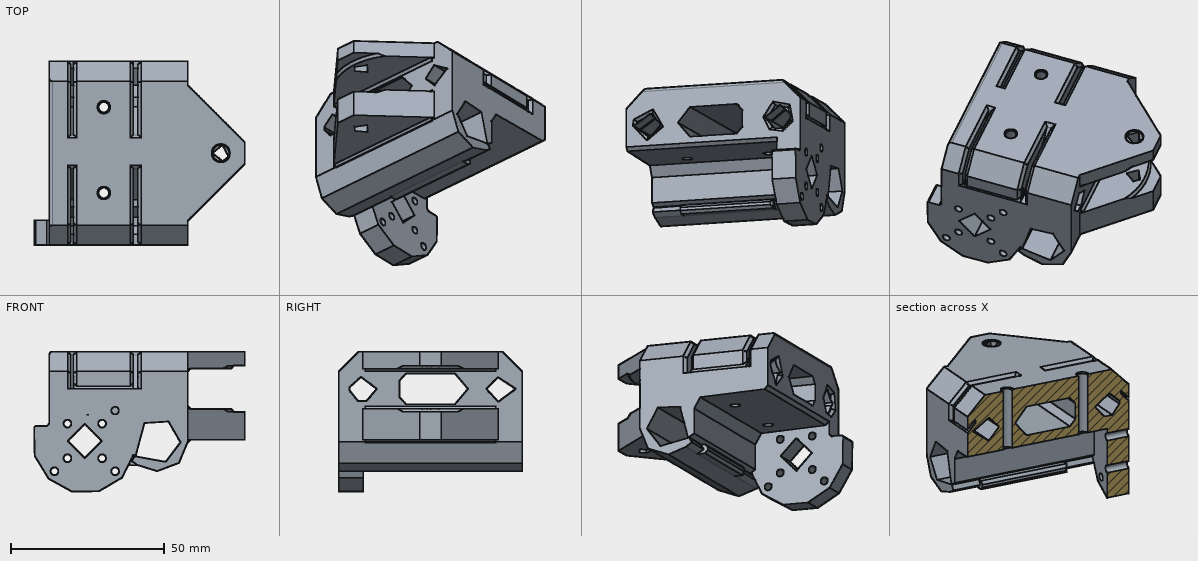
import cadquery as cq
import math


body_length = 60.0
body_half = body_length / 2
total_height = 45.77
plate_radius = 17.1
plate_first_angle = 196.5
plate_angle_step = 29.7
plate_corner_count = 5
plate_angles = [plate_first_angle + i * plate_angle_step for i in range(plate_corner_count)]
plate_bottom = min(plate_radius * math.sin(math.radians(a)) for a in plate_angles)
top_z = plate_bottom + total_height
left_x = -11.6
right_x = 33.65
underside_z = 10.0
shoulder_chamfer = 6.5
top_edge_radius = 1.0
underside_chamfer = 1.2

plate_thickness = 8.1
plate_left_x = -16.57
plate_top_z = 4.9
plate_corner = 0.5
plate_inner_corner = 0.8
plate_tube_corner = (16.6, -3.1)
plate_bore_corner = (20.0, 8.0)
shaft_hole_radius = 5.5
motor_screw_diameter = 2.46
inner_screw_offset = 5.65
outer_screw_offset = 9.9

tube_wall_x = 14.5
tube_wall_top_z = 4.7
tube_root_x = 12.3
tube_root_z = 8.3
tube_side_z = -0.3
tube_rim = [(30.75, -7.2), (23.6, -9.9), (17.4, -7.95), (15.3, -6.6)]
slit_outer_z = -3.7
lip_x = 16.3
lip_z = -5.0
lip_gap = 0.2
lip_overlap_x = 20.0
bore_corners = [(19.5, 5.8), (27.3, 6.3), (31.2, -0.45), (26.4, -6.8), (16.6, lip_z)]
tab_y = (-11.8, 20.0)
tab_x = 13.8
tab_root_x = 17.6
tab_bottom_z = -8.0
tab_chamfer = 1.0
tab_taper = 0.8

axis_z = 17.0
rod_offset_y = 22.5
rod_hole_radius = 5.3
rod_mouth_depth = 1.0
near_mouth_angles = (0, 69, 137, 202, 255, 306)
far_mouth_angles = (1, 22, 109, 191, 274)
near_core = [(4.95, 0), (-0.2, 3.85), (-3.9, 0.5), (-3.9, -0.5), (-1.2, -3.9), (1.6, -3.9)]
far_core = [(5.25, 0), (-0.5, 3.75), (-4.2, 0), (-0.4, -4.2)]
belt_half_height = 4.95
belt_straight_half = 8.0
belt_tip_y = 12.2
belt_blunt_y = -10.05
belt_blunt_half_height = 2.75

slit_flare = 1.05
near_slit_length = 26.0
far_slit_length = 25.0
slit_floor_length = 14.8
left_slit = (-4.55, -3.7)
right_slit = (15.85, 17.35)
clamp_gap = 0.9
clamp_gap_depth = 3.0

clamp_screw_x = 6.2
clamp_screw_ys = (15.0, -13.0)
clamp_screw_diameter = 3.4
clamp_screw_mouth = 4.2

total_length_x = 68.86
fork_tip_x = plate_left_x + total_length_x
fork_tip_half = 3.5
fork_root_half = fork_tip_half + fork_tip_x - right_x
upper_arm_z = 23.6
lower_arm_z = 10.5
lower_arm_bottom_z = 0.35
arm_step = 1.0
step_slope = 38.0
step_side_x = 45.0
step_mid_x = 47.9
fork_overlap = 1.0
fork_root_chamfer = 0.9
idler_x = 44.4
idler_diameter = 5.4
idler_mouth = 6.0
idler_corner_angles = (79, 180, 283, 336)

margin = 5.0


def prism_y(points, y_start, y_end):
    """Extrude an XZ outline between two Y positions."""
    plane = cq.Workplane("XZ", origin=(0, y_start, 0))
    return plane.polyline(points).close().extrude(y_start - y_end)


def prism_x(points, x_start, x_end):
    """Extrude a YZ outline between two X positions."""
    plane = cq.Workplane("YZ", origin=(x_start, 0, 0))
    return plane.polyline(points).close().extrude(x_end - x_start)


def polar_points(radius, angles, center=(0, 0)):
    """Corners on a circle at the given angles in degrees."""
    return [
        (
            center[0] + radius * math.cos(math.radians(a)),
            center[1] + radius * math.sin(math.radians(a)),
        )
        for a in angles
    ]


def make_body():
    """Block and split tube as one XZ outline, with sloped shoulders."""
    body = (
        cq.Workplane("XZ", origin=(0, -body_half, 0))
        .moveTo(left_x, underside_z)
        .lineTo(left_x, top_z)
        .lineTo(right_x, top_z)
        .lineTo(right_x, tube_side_z)
        .lineTo(*tube_rim[0])
        .lineTo(*tube_rim[1])
        .lineTo(*tube_rim[2])
        .lineTo(*tube_rim[3])
        .lineTo(lip_x, lip_z)
        .lineTo(lip_overlap_x, lip_z)
        .lineTo(lip_overlap_x, lip_z + lip_gap)
        .lineTo(lip_x, lip_z + lip_gap)
        .lineTo(tube_wall_x, slit_outer_z)
        .lineTo(tube_wall_x, tube_wall_top_z)
        .lineTo(tube_root_x, tube_root_z)
        .lineTo(left_x + underside_chamfer, underside_z - underside_chamfer)
        .close()
        .extrude(-body_length)
    )
    body = body.edges(cq.selectors.NearestToPointSelector((left_x, 0, top_z))).fillet(top_edge_radius)
    for side in (-1, 1):
        shoulder = prism_x(
            [
                (side * body_half, top_z - shoulder_chamfer),
                (side * body_half, top_z),
                (side * (body_half - shoulder_chamfer), top_z),
            ],
            left_x,
            right_x,
        )
        body = body.cut(shoulder)
    return body


def make_plate():
    """Faceted round motor plate hanging below the -Y end of the block."""
    outline = [
        (left_x, axis_z),
        (left_x, plate_top_z + plate_inner_corner),
        (left_x - plate_inner_corner, plate_top_z),
        (plate_left_x + plate_corner, plate_top_z),
        (plate_left_x, plate_top_z - plate_corner),
    ]
    outline += polar_points(plate_radius, plate_angles)
    outline += [plate_tube_corner, plate_bore_corner, (plate_bore_corner[0], axis_z)]
    return prism_y(outline, -body_half, -body_half + plate_thickness)


def make_tab():
    """Bar along the lower lip of the tube, tapered at its -Y end."""
    tab = prism_y(
        [
            (tab_x + tab_chamfer, lip_z),
            (tab_x, lip_z - tab_chamfer),
            (tab_x, tab_bottom_z + tab_chamfer),
            (tab_x + tab_chamfer, tab_bottom_z),
            (tab_root_x, tab_bottom_z),
            (lip_x, lip_z),
        ],
        tab_y[0],
        tab_y[1],
    )
    taper = (
        cq.Workplane("XY", origin=(0, 0, tab_bottom_z))
        .polyline([(tab_x, tab_y[0]), (tab_x + tab_taper, tab_y[0]), (tab_x, tab_y[0] + tab_taper)])
        .close()
        .extrude(margin)
    )
    return tab.cut(taper)


def make_arm(bottom, top):
    """One arm of the idler fork, a trapezoid in plan."""
    return (
        cq.Workplane("XY", origin=(0, 0, bottom))
        .polyline(
            [
                (right_x - fork_overlap, -fork_root_half),
                (right_x, -fork_root_half),
                (fork_tip_x, -fork_tip_half),
                (fork_tip_x, fork_tip_half),
                (right_x, fork_root_half),
                (right_x - fork_overlap, fork_root_half),
            ]
        )
        .close()
        .extrude(top - bottom)
    )


def make_fork():
    """Both arms with wider clearance at the tip and small root chamfers."""
    fork = make_arm(upper_arm_z, top_z).union(make_arm(lower_arm_bottom_z, lower_arm_z))
    side_half = fork_tip_half + fork_tip_x - step_side_x
    for face_z, direction in ((upper_arm_z, 1), (lower_arm_z, -1)):
        clearance = (
            cq.Workplane("XY", origin=(0, 0, face_z))
            .moveTo(step_side_x, -side_half)
            .threePointArc((step_mid_x, 0), (step_side_x, side_half))
            .lineTo(step_side_x, side_half + margin)
            .lineTo(fork_tip_x + margin, side_half + margin)
            .lineTo(fork_tip_x + margin, -side_half - margin)
            .lineTo(step_side_x, -side_half - margin)
            .close()
            .extrude(direction * arm_step, taper=step_slope)
        )
        fork = fork.cut(clearance)
    for face_z, away in ((upper_arm_z, -1), (lower_arm_z, 1), (lower_arm_bottom_z, -1)):
        root = [
            (right_x, face_z),
            (right_x + fork_root_chamfer, face_z),
            (right_x, face_z + away * fork_root_chamfer),
        ]
        half = fork_root_half - fork_root_chamfer
        fork = fork.union(prism_y(root, -half, half))
    return fork


def slit_flare_wedge(x_wall, direction, length, bottom_z):
    """45 degree flare on one wall of a slit, ending in a 45 degree miter on top."""
    f = slit_flare
    corner_shift = f * math.tan(math.radians(22.5))
    wedge_section = [
        (length + margin, top_z + margin),
        (length + margin, top_z - f),
        (shoulder_chamfer + corner_shift, top_z - f),
        (f, top_z - shoulder_chamfer - corner_shift),
        (f, bottom_z - margin),
        (-margin, bottom_z - margin),
        (-margin, top_z + margin),
    ]
    trim_section = [(length, top_z), (length - f, top_z - f), (f, bottom_z), (0, bottom_z), (0, top_z)]
    plane = cq.Workplane("YZ", origin=(x_wall, -body_half, 0))
    wedge = plane.polyline(wedge_section).close().extrude(direction * f, taper=45)
    trim = plane.polyline(trim_section).close().extrude(direction * f)
    return wedge.intersect(trim)


def make_slits(length):
    """Two flared slits and a sloped gap that free a clamping block at the -Y end."""
    slit_section = [
        (length, top_z),
        (length - slit_flare, top_z - slit_flare),
        (slit_floor_length, axis_z),
        (0, axis_z),
        (0, top_z),
    ]
    gap_section = [
        (0, axis_z),
        (clamp_gap_depth, axis_z + clamp_gap_depth),
        (clamp_gap_depth, axis_z + clamp_gap_depth + clamp_gap),
        (0, axis_z + clamp_gap),
    ]
    block_bottom_z = axis_z + clamp_gap
    walls = [
        (left_slit[0], -1, axis_z),
        (left_slit[1], 1, block_bottom_z),
        (right_slit[0], -1, block_bottom_z),
        (right_slit[1], 1, axis_z),
    ]
    gap_plane = cq.Workplane("YZ", origin=(left_slit[0], -body_half, 0))
    slits = gap_plane.polyline(gap_section).close().extrude(right_slit[1] - left_slit[0])
    for x_start, x_end in (left_slit, right_slit):
        plane = cq.Workplane("YZ", origin=(x_start, -body_half, 0))
        slits = slits.union(plane.polyline(slit_section).close().extrude(x_end - x_start))
    for x_wall, direction, bottom_z in walls:
        slits = slits.union(slit_flare_wedge(x_wall, direction, length, bottom_z))
    return slits


def mouth_cone(x, y, diameter, mouth):
    """45 degree flare at the top of a hole along Z."""
    depth = (mouth - diameter) / 2
    return cq.Workplane("XY", origin=(x, y, top_z)).circle(mouth / 2).extrude(-depth, taper=45)


def make_clamp_screw_hole(y):
    """Round clamp screw hole with a flared top mouth."""
    plane = cq.Workplane("XY", origin=(clamp_screw_x, y, plate_bottom))
    hole = plane.circle(clamp_screw_diameter / 2).extrude(total_height)
    return hole.union(mouth_cone(clamp_screw_x, y, clamp_screw_diameter, clamp_screw_mouth))


def make_idler_hole():
    """Four-sided idler pin hole with a flared top mouth."""
    corners = polar_points(idler_diameter / 2, idler_corner_angles, (idler_x, 0))
    plane = cq.Workplane("XY", origin=(0, 0, plate_bottom))
    hole = plane.polyline(corners).close().extrude(total_height)
    return hole.union(mouth_cone(idler_x, 0, idler_diameter, idler_mouth))


def make_x_holes():
    """Two faceted rod holes and the belt window along X."""
    belt = [
        (belt_tip_y, axis_z),
        (belt_straight_half, axis_z + belt_half_height),
        (-belt_straight_half, axis_z + belt_half_height),
        (belt_blunt_y, axis_z + belt_blunt_half_height),
        (belt_blunt_y, axis_z - belt_blunt_half_height),
        (-belt_straight_half, axis_z - belt_half_height),
        (belt_straight_half, axis_z - belt_half_height),
    ]
    holes = prism_x(belt, left_x, right_x)
    for side, angles, core in ((-1, near_mouth_angles, near_core), (1, far_mouth_angles, far_core)):
        center_y = side * rod_offset_y
        mouth = polar_points(rod_hole_radius, angles, (center_y, axis_z))
        plane = cq.Workplane("YZ", origin=(left_x, 0, 0))
        flare = plane.polyline(mouth).close().extrude(rod_mouth_depth, taper=45)
        core_outline = [(center_y + dy, axis_z + dz) for dy, dz in core]
        holes = holes.union(flare).union(prism_x(core_outline, left_x, right_x))
    return holes


def make_motor_holes():
    """Square shaft window and the motor screw holes through the plate."""
    s = shaft_hole_radius
    y_end = -body_half + plate_thickness
    holes = prism_y([(s, 0), (0, s), (-s, 0), (0, -s)], -body_half, y_end)
    i = inner_screw_offset
    o = outer_screw_offset
    spots = [(i, i), (-i, i), (-i, -i), (i, -i), (o, o), (-o, -o), (o, -o)]
    screws = (
        cq.Workplane("XZ", origin=(0, -body_half, 0))
        .pushPoints(spots)
        .circle(motor_screw_diameter / 2)
        .extrude(-plate_thickness)
    )
    return holes.union(screws)


result = make_body().union(make_plate()).union(make_tab()).union(make_fork())
result = result.cut(prism_y(bore_corners, -body_half, body_half))
result = result.cut(make_x_holes()).cut(make_motor_holes())
result = result.cut(make_slits(near_slit_length)).cut(make_slits(far_slit_length).mirror("XZ"))
for screw_y in clamp_screw_ys:
    result = result.cut(make_clamp_screw_hole(screw_y))
result = result.cut(make_idler_hole())